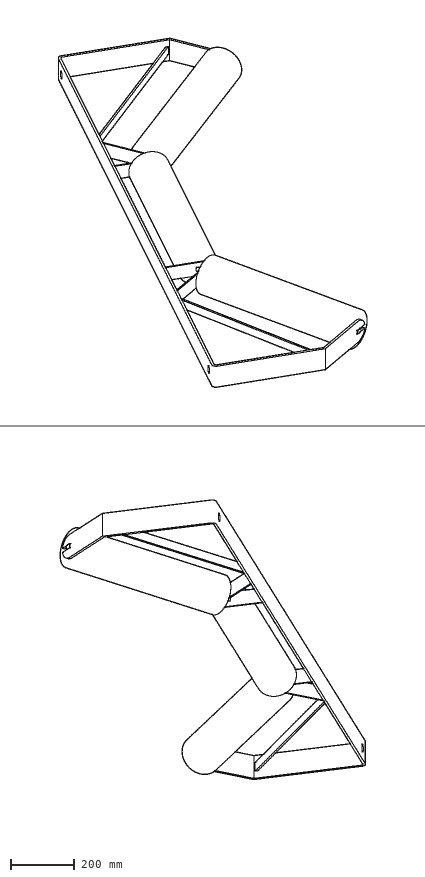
import cadquery as cq
import math


frame_width = 1800.0
bar_height = 81.0
bar_thickness = 8.5
corner_radius = 15.0
wall_length = 370.0
arm_length = 223.0
mount_slot_inset = 47.0
mount_slot_width = 16.0
mount_slot_height = 27.0

trough_angle = 40.0
roller_diameter = 133.0
roller_length = 569.0
roller_edge_radius = 4.0
shaft_diameter = 20.0
shaft_flat_width = 15.0
shaft_protrusion = 2.0
middle_axis_y = 126.0
middle_axis_z = -7.0
side_center_x = -550.0
side_center_y = 325.0
side_outer_z = 0.0

bracket_thickness = 4.5
bracket_gap = 7.0
bracket_height = 50.0
bracket_z = -7.0
bracket_foot_x = -437.0
bracket_ridge_y = 167.0

brace_thickness = 7.0
brace_height = 30.0
brace_z = 0.0
brace_foot_x = -457.0
brace_top_y = 364.0

half_width = frame_width / 2
bracket_leg_x = -(roller_length / 2 + bracket_gap)
shaft_stub = bracket_gap + bracket_thickness + shaft_protrusion
trough = math.radians(trough_angle)
side_center_z = (side_outer_z + middle_axis_z) / 2
tilt_angle = math.degrees(math.asin((side_outer_z - middle_axis_z) / roller_length))


def mirrored(body):
    """The same body on the +X side."""
    return body.mirror("YZ")


def upright_plate(points, height, center_z):
    """A plate with the given plan outline, its height centred on center_z."""
    plan = cq.Workplane("XY").workplane(offset=center_z - height / 2)
    return plan.polyline(points).close().extrude(height)


def place_left(body):
    """Moves a body built along X at the origin onto the left roller axis."""
    tilted = body.rotate((0, 0, 0), (0, 1, 0), tilt_angle)
    turned = tilted.rotate((0, 0, 0), (0, 0, 1), -trough_angle)
    return turned.translate((side_center_x, side_center_y, side_center_z))


def axial_cylinder(diameter, length):
    """A cylinder along X, centred on the origin."""
    return cq.Workplane("YZ").workplane(offset=-length / 2).circle(diameter / 2).extrude(length)


def make_roller():
    """A roller along X at the origin, with flatted shaft stubs at both ends."""
    shaft_length = roller_length + 2 * shaft_stub
    shell = axial_cylinder(roller_diameter, roller_length).edges().fillet(roller_edge_radius)
    shaft = axial_cylinder(shaft_diameter, shaft_length)
    flats = cq.Workplane("XY").box(shaft_length, shaft_diameter, shaft_flat_width)
    return shell.union(shaft.intersect(flats))


def make_arm():
    """The sloping left end of the frame, with a rounded tip and an open shaft slot."""
    profile = (
        cq.Workplane("XZ")
        .moveTo(0, -bar_height / 2)
        .lineTo(arm_length - bar_height / 2, -bar_height / 2)
        .threePointArc((arm_length, 0), (arm_length - bar_height / 2, bar_height / 2))
        .lineTo(0, bar_height / 2)
        .close()
        .extrude(bar_thickness)
    )
    arm = profile.rotate((0, 0, 0), (0, 0, 1), 90 - trough_angle)
    arm = arm.translate((-half_width, wall_length, 0))
    slot = cq.Workplane("XY").box(
        2 * shaft_stub, arm_length, shaft_flat_width, centered=(True, False, True)
    )
    slot = slot.translate((-roller_length / 2 - shaft_stub, -shaft_diameter / 2, 0))
    return arm.cut(place_left(slot))


def front_rounded_block(width, radius):
    """A block as deep as the walls, with its two front upright edges rounded."""
    block = cq.Workplane("XY").box(width, wall_length, bar_height, centered=(True, False, True))
    return block.edges("|Z and <Y").fillet(radius)


def make_frame():
    """The base bar with its two walls and two sloping arms."""
    outer = front_rounded_block(frame_width, corner_radius)
    inner = front_rounded_block(frame_width - 2 * bar_thickness, corner_radius - bar_thickness)
    channel = outer.cut(inner.translate((0, bar_thickness, 0)))
    arm = make_arm()
    frame = channel.union(arm).union(mirrored(arm))
    mount_slots = (
        cq.Workplane("XZ")
        .pushPoints([(-half_width + mount_slot_inset, 0), (half_width - mount_slot_inset, 0)])
        .slot2D(mount_slot_height, mount_slot_width, 90)
        .extrude(-bar_thickness)
    )
    return frame.cut(mount_slots)


def make_bracket():
    """The left inner bracket: one leg square to the side roller, one square to the middle one."""
    slope = math.tan(trough)
    foot_y = bar_thickness
    inner_y = bracket_ridge_y - bracket_thickness
    foot_width = bracket_thickness / math.cos(trough)
    inner_leg_x = bracket_leg_x - bracket_thickness

    def sloping_face_x(y):
        return bracket_foot_x + (y - foot_y) * slope

    outline = [
        (bracket_foot_x, foot_y),
        (sloping_face_x(bracket_ridge_y), bracket_ridge_y),
        (bracket_leg_x, bracket_ridge_y),
        (bracket_leg_x, foot_y),
        (inner_leg_x, foot_y),
        (inner_leg_x, inner_y),
        (sloping_face_x(inner_y) + foot_width, inner_y),
        (bracket_foot_x + foot_width, foot_y),
    ]
    return upright_plate(outline, bracket_height, bracket_z)


def make_brace():
    """The left diagonal brace from the wall down to the base bar."""
    wall_x = -half_width + bar_thickness
    foot_y = bar_thickness
    slope_angle = math.atan2(brace_top_y - foot_y, brace_foot_x - wall_x)
    foot_width = brace_thickness / math.sin(slope_angle)
    wall_end_height = brace_thickness / math.cos(slope_angle)
    outline = [
        (wall_x, brace_top_y),
        (brace_foot_x, foot_y),
        (brace_foot_x - foot_width, foot_y),
        (wall_x, brace_top_y - wall_end_height),
    ]
    return upright_plate(outline, brace_height, brace_z)


roller = make_roller()
middle_roller = roller.translate((0, middle_axis_y, middle_axis_z))
left_roller = place_left(roller)
rollers = [middle_roller, left_roller, mirrored(left_roller)]

frame = make_frame()

left_bracket = make_bracket().cut(left_roller).cut(middle_roller)
brackets = [left_bracket, mirrored(left_bracket)]

left_brace = make_brace()
braces = [left_brace, mirrored(left_brace)]

result = cq.Compound.makeCompound([body.val() for body in [frame, *rollers, *brackets, *braces]])